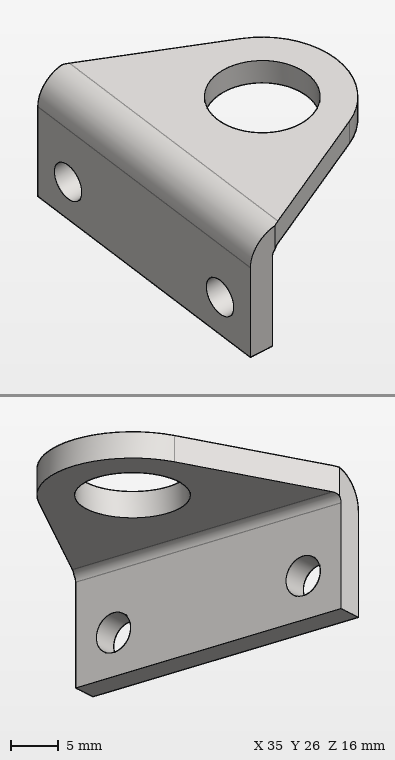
import cadquery as cq
import math

width = 35.0
height = 16.0
thickness = 3.0
inner_bend_radius = 1.0
outer_bend_radius = inner_bend_radius + thickness

eye_distance = 16.0
eye_radius = 10.0
eye_hole_diameter = 12.1
taper_start_y = 3.3

mount_hole_diameter = 4.5
mount_hole_spacing = 25.0
mount_hole_height = 5.0

depth = eye_distance + eye_radius
half_width = width / 2


def bent_sheet():
    """L-shaped strip with concentric inner and outer bend radii."""
    outside = cq.Workplane("YZ").rect(depth, height, centered=False).extrude(half_width, both=True)
    outside = outside.edges("|X and <Y and >Z").fillet(outer_bend_radius)
    inside = (
        cq.Workplane("YZ")
        .moveTo(thickness, 0)
        .rect(depth - thickness, height - thickness, centered=False)
        .extrude(half_width, both=True)
        .edges("|X and <Y and >Z")
        .fillet(inner_bend_radius)
    )
    return outside.cut(inside)


def plan_outline():
    """Prism of the plan shape: straight front, then sides tangent to the rounded end."""
    corner_offset_y = eye_distance - taper_start_y
    corner_distance = math.hypot(half_width, corner_offset_y)
    corner_angle = math.atan2(-corner_offset_y, half_width)
    tangent_angle = corner_angle + math.acos(eye_radius / corner_distance)
    tangent_x = eye_radius * math.cos(tangent_angle)
    tangent_y = eye_distance + eye_radius * math.sin(tangent_angle)
    return (
        cq.Workplane("XY")
        .moveTo(-half_width, 0)
        .lineTo(half_width, 0)
        .lineTo(half_width, taper_start_y)
        .lineTo(tangent_x, tangent_y)
        .threePointArc((0, depth), (-tangent_x, tangent_y))
        .lineTo(-half_width, taper_start_y)
        .close()
        .extrude(height)
    )


def eye_hole():
    """Vertical cutter through the tab."""
    return cq.Workplane("XY").center(0, eye_distance).circle(eye_hole_diameter / 2).extrude(height)


def mount_holes():
    """Pair of cutters through the flange, along Y."""
    half_spacing = mount_hole_spacing / 2
    return (
        cq.Workplane("XZ")
        .pushPoints([(side * half_spacing, mount_hole_height) for side in (-1, 1)])
        .circle(mount_hole_diameter / 2)
        .extrude(-thickness)
    )


result = bent_sheet().intersect(plan_outline()).cut(eye_hole()).cut(mount_holes())